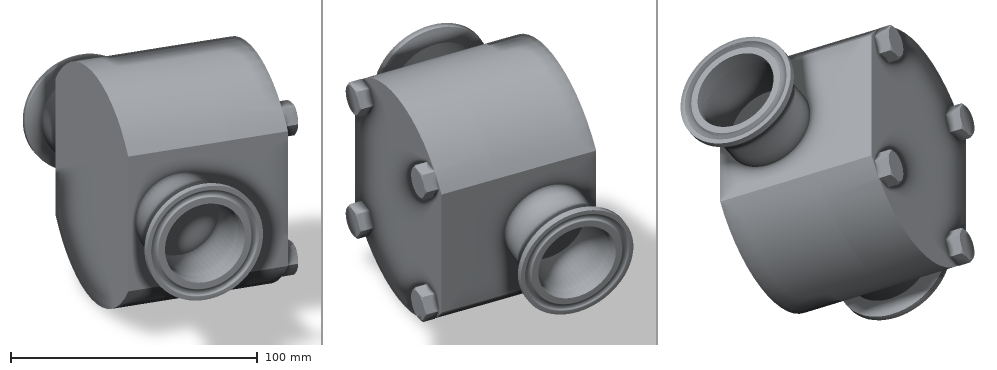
import cadquery as cq
import math

INCH = 25.4

housing_diameter = 4.0 * INCH
housing_width = 82.0
front_face_y = -0.875 * INCH
body_depth = 44.45
cover_thickness = 25.0
housing_depth = body_depth + cover_thickness
back_face_y = front_face_y + housing_depth

overall_length = 5.5 * INCH
tube_diameter = 1.5 * INCH
bore_diameter = 1.37 * INCH
flange_diameter = 50.5
rim_thickness = 2.85
flange_back_angle = 20.0
ferrule_length = 23.6
stub_length = (overall_length - housing_width) / 2 - ferrule_length

groove_diameter = 43.6
groove_width = 2.8
groove_depth = 1.2
groove_lip_radius = 0.3

head_across_flats = 0.5 * INCH
head_across_corners = head_across_flats / math.cos(math.pi / 6)
head_height = 5.9
head_chamfer_height = 0.6
bolt_circle_diameter = 87.7
bolt_count = 4


def housing_slice(start_y, depth):
    """Length of the flatted round bar, from start_y toward +Y."""
    bar = cq.Workplane("XZ", origin=(0, start_y, 0)).circle(housing_diameter / 2).extrude(-depth)
    flats = cq.Workplane("XY").box(housing_width, depth, housing_diameter)
    return bar.intersect(flats.translate((0, start_y + depth / 2, 0)))


def stub():
    """Blind-bored stub on the +X flat; the flat is the floor of the bore."""
    return (
        cq.Workplane("YZ", origin=(housing_width / 2, 0, 0))
        .circle(tube_diameter / 2)
        .circle(bore_diameter / 2)
        .extrude(stub_length)
    )


def ferrule():
    """Ferrule of the +X port, revolved about the X axis."""
    face_x = overall_length / 2
    weld_x = face_x - ferrule_length
    bore_r = bore_diameter / 2
    tube_r = tube_diameter / 2
    flange_r = flange_diameter / 2
    groove_r = groove_diameter / 2
    rim_x = face_x - rim_thickness
    cone_x = rim_x - (flange_r - tube_r) * math.tan(math.radians(flange_back_angle))
    profile = (
        cq.Workplane("XY")
        .moveTo(weld_x, bore_r)
        .lineTo(face_x, bore_r)
        .lineTo(face_x, groove_r - groove_width / 2)
        .threePointArc((face_x - groove_depth, groove_r), (face_x, groove_r + groove_width / 2))
        .lineTo(face_x, flange_r)
        .lineTo(rim_x, flange_r)
        .lineTo(cone_x, tube_r)
        .lineTo(weld_x, tube_r)
        .close()
    )
    blank = profile.revolve(360, (0, 0, 0), (1, 0, 0))
    lips = [
        edge
        for edge in blank.edges("%CIRCLE").vals()
        if math.isclose(abs(edge.radius() - groove_r), groove_width / 2)
    ]
    return blank.newObject(lips).fillet(groove_lip_radius)


def bolt_head():
    """Hex head on the back of the cover, centred on Y, corners along X, chamfered at the tip."""
    back_plane = cq.Workplane("XZ", origin=(0, back_face_y, 0))
    hexagon = back_plane.polygon(6, head_across_corners).extrude(-head_height)
    turned_blank = (
        back_plane.circle(head_across_corners / 2)
        .extrude(-head_height)
        .faces(">Y")
        .chamfer(head_chamfer_height, (head_across_corners - head_across_flats) / 2)
    )
    return hexagon.intersect(turned_blank)


def bolt_position(index):
    """X and Z of a bolt on the bolt circle, the first one at 45 degrees."""
    angle = 2 * math.pi * (index + 0.5) / bolt_count
    radius = bolt_circle_diameter / 2
    return radius * math.cos(angle), radius * math.sin(angle)


result = housing_slice(front_face_y, body_depth)
result = result.union(housing_slice(front_face_y + body_depth, cover_thickness), clean=False)

for port_part in (stub(), ferrule()):
    result = result.union(port_part, clean=False)
    result = result.union(port_part.mirror("YZ"), clean=False)

for bolt_index in range(bolt_count):
    bolt_x, bolt_z = bolt_position(bolt_index)
    result = result.union(bolt_head().translate((bolt_x, 0, bolt_z)), clean=False)